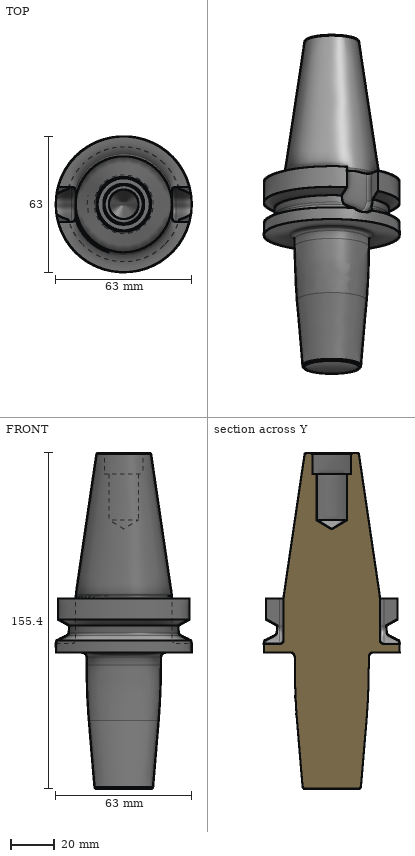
import cadquery as cq
import math

total_height = 155.4
gauge_height = 90.0
flange_top = 88.1
flange_bottom = 63.0
upper_rim_bottom = 78.3
lower_rim_top = 68.5
shank_straight_bottom = 57.2
nose_cone_top = 31.7

flange_diameter = 63.0
flange_radius = flange_diameter / 2
groove_radius = 26.5
groove_wall_rise = (flange_radius - groove_radius) * math.tan(math.radians(30))
gauge_radius = 22.2
taper_ratio = 7 / 48
taper_top_radius = gauge_radius - (total_height - gauge_height) * taper_ratio
shank_radius = 17.2
nose_angle = math.radians(4.7)

taper_tip_chamfer = 0.6
taper_root_fillet = 1.1
groove_fillet = 1.4
shank_root_fillet = 2.0
nose_chamfer = 0.8

slot_width = 16.2
slot_floor = 22.4
slot_floor_fillet = 1.7
slot_center_height = 75.2

bore_radius = 8.9
bore_depth = 9.8
bore_chamfer = 0.6
pilot_radius = 6.8
pilot_depth = 31.1
drill_point_angle = 118


def turned_body():
    arc_radius = (shank_straight_bottom - nose_cone_top) / math.sin(nose_angle)
    cone_top_radius = shank_radius - arc_radius * (1 - math.cos(nose_angle))
    nose_radius = cone_top_radius - nose_cone_top * math.tan(nose_angle)
    profile = (
        cq.Workplane("XZ")
        .moveTo(0, 0)
        .lineTo(nose_radius - nose_chamfer, 0)
        .lineTo(nose_radius, nose_chamfer)
        .lineTo(cone_top_radius, nose_cone_top)
        .threePointArc(
            (
                shank_radius - arc_radius * (1 - math.cos(nose_angle / 2)),
                shank_straight_bottom - arc_radius * math.sin(nose_angle / 2),
            ),
            (shank_radius, shank_straight_bottom),
        )
        .lineTo(shank_radius, flange_bottom - shank_root_fillet)
        .radiusArc((shank_radius + shank_root_fillet, flange_bottom), shank_root_fillet)
        .lineTo(flange_radius, flange_bottom)
        .lineTo(flange_radius, lower_rim_top)
        .lineTo(groove_radius, lower_rim_top + groove_wall_rise)
        .lineTo(groove_radius, upper_rim_bottom - groove_wall_rise)
        .lineTo(flange_radius, upper_rim_bottom)
        .lineTo(flange_radius, flange_top)
        .lineTo(gauge_radius + taper_root_fillet, flange_top)
        .radiusArc((gauge_radius, flange_top + taper_root_fillet), taper_root_fillet)
        .lineTo(gauge_radius, gauge_height)
        .lineTo(taper_top_radius, total_height - taper_tip_chamfer)
        .lineTo(taper_top_radius - taper_tip_chamfer, total_height)
        .lineTo(0, total_height)
        .close()
    )
    body = profile.revolve(360, (0, 0, 0), (0, 1, 0))
    corner_height = lower_rim_top + groove_wall_rise
    margin = groove_wall_rise / 10
    lower_groove_corner = cq.selectors.BoxSelector(
        (-flange_radius, -flange_radius, corner_height - margin),
        (flange_radius, flange_radius, corner_height + margin),
    )
    return body.edges(lower_groove_corner).edges("%CIRCLE").fillet(groove_fillet)


def drive_slot():
    depth = flange_radius
    height = total_height - slot_center_height
    floor = cq.Workplane("YZ", origin=(slot_floor, 0, slot_center_height))
    upright = floor.center(0, height / 2).rect(slot_width, height).extrude(depth)
    round_end = floor.circle(slot_width / 2).extrude(depth)
    return upright.union(round_end).clean().faces("<X").edges().fillet(slot_floor_fillet)


def stepped_bore():
    pilot_bottom = total_height - pilot_depth
    point_depth = pilot_radius / math.tan(math.radians(drill_point_angle / 2))
    shelf = total_height - bore_depth
    return (
        cq.Workplane("XZ")
        .moveTo(0, total_height)
        .lineTo(bore_radius + bore_chamfer, total_height)
        .lineTo(bore_radius, total_height - bore_chamfer)
        .lineTo(bore_radius, shelf)
        .lineTo(pilot_radius, shelf)
        .lineTo(pilot_radius, pilot_bottom)
        .lineTo(0, pilot_bottom - point_depth)
        .close()
        .revolve(360, (0, 0, 0), (0, 1, 0))
    )


result = turned_body().cut(stepped_bore())
for angle in (0, 180):
    result = result.cut(drive_slot().rotate((0, 0, 0), (0, 0, 1), angle))